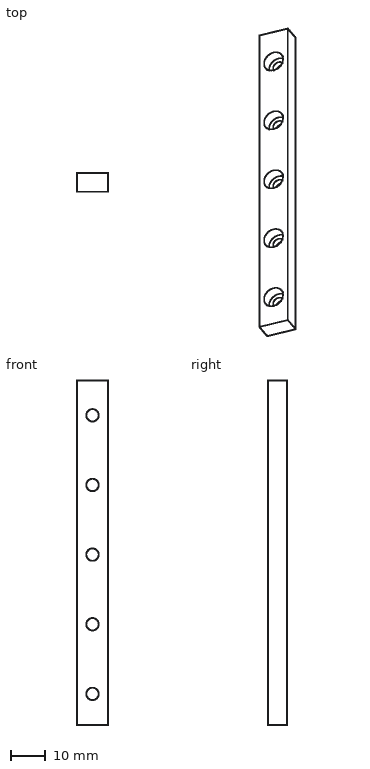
import cadquery as cq

WIDTH = 9.0
THICKNESS = 5.5
LENGTH = 99.0

HOLE_COUNT = 5
HOLE_PITCH = 20.0
HOLE_DIAMETER = 3.5
FIRST_HOLE_HEIGHT = 9.0
COUNTERBORE_DIAMETER = 6.0
COUNTERBORE_DEPTH = 3.5


def bar():
    """Rectangular bar standing on its bottom end."""
    return cq.Workplane("XY").box(WIDTH, THICKNESS, LENGTH, centered=(True, True, False))


def add_holes(body):
    """Holes along Y through the full thickness, counterbored on the +Y face."""
    centres = [(0, FIRST_HOLE_HEIGHT + i * HOLE_PITCH) for i in range(HOLE_COUNT)]
    return (
        body.faces(">Y")
        .workplane(origin=(0, 0, 0))
        .pushPoints(centres)
        .cboreHole(HOLE_DIAMETER, COUNTERBORE_DIAMETER, COUNTERBORE_DEPTH)
    )


result = add_holes(bar())